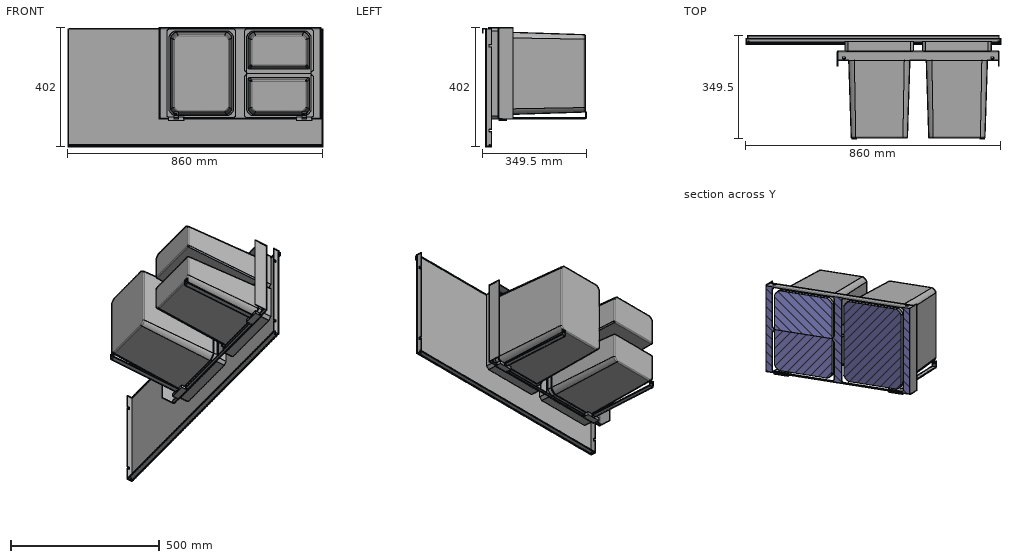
import cadquery as cq
import math


PANEL_LENGTH = 860.0
PANEL_HEIGHT = 397.0
PANEL_DEPTH = 21.0
PANEL_SHEET = 3.0
HEM_HEIGHT = 9.0
HEM_REACH = 7.0
HEM_SHEET = 2.0
HOOK_INSET = 6.0
HOOK_REACH = 10.0
HOOK_DROP = 15.0
HOOK_SHEET = 2.0
NOTCH_HEIGHT = 8.0
NOTCH_DEPTH = 9.0
NOTCH_LEVELS = (55.0, 340.5)
CORNER_HOLE = 3.0
CORNER_HOLE_INSET = 9.0
CORNER_HOLE_Y = -10.0

FRAME_LEFT = 308.0
FRAME_RIGHT = 853.0
FRAME_BOTTOM = 94.0
FRAME_TOP = 402.0
FRAME_BACK = -42.0
FRAME_SHEET = 2.0
FRAME_BEND = 4.0
WEB_LIP = 3.5
TOP_FLANGE_DEPTH = 32.0
BOTTOM_FLANGE_DEPTH = 13.0
SIDE_FLANGE_DEPTH = 51.0
SLOT_LENGTH = 9.0
SLOT_WIDTH = 5.0
SLOT_INSET = 22.0
SLOT_Y = -65.0
FRAME_WIDTH = FRAME_RIGHT - FRAME_LEFT
FRAME_HEIGHT = FRAME_TOP - FRAME_BOTTOM
FRAME_CENTRE = (FRAME_LEFT + FRAME_RIGHT) / 2
FRAME_MIDDLE = (FRAME_BOTTOM + FRAME_TOP) / 2
WEB_FRONT = FRAME_BACK - FRAME_SHEET

RIM_WIDTH = 232.0
RIM_BACK = -10.0
RIM_CHAMFER = 10.0
STEP_WIDTH = 218.0
STEP_INSET = 11.0
STEP_DEPTH = 13.0
STEP_CORNER = 19.0
BODY_WIDTH = 209.0
BODY_INSET = 14.0
BODY_TAPER = 9.5
BODY_CORNER = 20.0
BODY_END_CORNER = 15.5
BODY_SMALL_CORNER = 4.0
BODY_END_ROUND = 4.0
CORNER_BULGE = 0.2
BIN_SPREAD = 131.0
BIN_END = -336.0

ARM_SPREAD = 216.0
BRACKET_WIDTH = 52.5
BRACKET_BACK = -46.0
BRACKET_FRONT = -70.5
BRACKET_BOTTOM = 89.5
BRACKET_TOP = 101.0
ARM_WIDTH = 15.5
ARM_SHEET = 3.5
ARM_BOTTOM = 95.0
ARM_TIP_HEIGHT = 22.0
ARM_BEND = 5.0
TIP_HOLE_WIDTH = 8.0
TIP_HOLE_HEIGHT = 5.0
TIP_HOLE_DROP = 8.0


def block(x_min, x_max, y_min, y_max, z_min, z_max):
    """Box given by its limits along each axis."""
    size = (x_max - x_min, y_max - y_min, z_max - z_min)
    return cq.Workplane("XY").box(*size, centered=False).translate((x_min, y_min, z_min))


def slab(centre, size, y_min, y_max):
    """Box given by its (x, z) centre and size, and its limits along Y."""
    (x, z), (width, height) = centre, size
    return block(x - width / 2, x + width / 2, y_min, y_max, z - height / 2, z + height / 2)


def make_panel():
    """Tray with side flanges, a hemmed bottom flange and a hook along its top edge."""
    front = -PANEL_DEPTH
    inner_right = PANEL_LENGTH - PANEL_SHEET
    panel = block(0, PANEL_LENGTH, front, 0, 0, PANEL_HEIGHT)
    panel = panel.cut(block(PANEL_SHEET, inner_right, front, -PANEL_SHEET, PANEL_SHEET, PANEL_HEIGHT))

    hem = (
        cq.Workplane("YZ", origin=(PANEL_SHEET, 0, 0))
        .moveTo(front, PANEL_SHEET)
        .lineTo(front + HEM_REACH, HEM_HEIGHT)
        .lineTo(front + HEM_REACH + HEM_SHEET, HEM_HEIGHT - HEM_SHEET)
        .lineTo(front + 2 * HEM_SHEET, PANEL_SHEET)
        .close()
        .extrude(inner_right - PANEL_SHEET)
    )

    hook_left = HOOK_INSET
    hook_right = PANEL_LENGTH - HOOK_INSET
    hook_top = PANEL_HEIGHT + HOOK_SHEET
    ledge = block(hook_left, hook_right, -PANEL_SHEET, HOOK_REACH, PANEL_HEIGHT, hook_top)
    lip = block(
        hook_left, hook_right, HOOK_REACH - HOOK_SHEET, HOOK_REACH, hook_top - HOOK_DROP, hook_top
    )
    panel = panel.union(hem).union(ledge).union(lip)

    for level in NOTCH_LEVELS:
        notch = block(
            0, PANEL_LENGTH, front, front + NOTCH_DEPTH, level - NOTCH_HEIGHT / 2, level + NOTCH_HEIGHT / 2
        )
        panel = panel.cut(notch)

    for x in (CORNER_HOLE_INSET, PANEL_LENGTH - CORNER_HOLE_INSET):
        hole = cq.Workplane("XY").center(x, CORNER_HOLE_Y).rect(CORNER_HOLE, CORNER_HOLE)
        panel = panel.cut(hole.extrude(PANEL_SHEET))
    return panel


def make_frame(seated_bodies):
    """Folded frame whose back web is open at the bins and notched for the brackets."""
    front = FRAME_BACK - SIDE_FLANGE_DEPTH
    centre = (FRAME_CENTRE, FRAME_MIDDLE)
    inner_width = FRAME_WIDTH - 2 * FRAME_SHEET
    inner_height = FRAME_HEIGHT - 2 * FRAME_SHEET
    inner_bend = FRAME_BEND - FRAME_SHEET
    frame = slab(centre, (FRAME_WIDTH, FRAME_HEIGHT), front, FRAME_BACK).edges(">Y").fillet(FRAME_BEND)
    inside = slab(centre, (inner_width, inner_height), front, WEB_FRONT).edges(">Y").fillet(inner_bend)
    frame = frame.cut(inside)

    top_edge = FRAME_BACK - TOP_FLANGE_DEPTH
    bottom_edge = FRAME_BACK - BOTTOM_FLANGE_DEPTH
    inner_left = FRAME_LEFT + FRAME_SHEET
    inner_right = FRAME_RIGHT - FRAME_SHEET
    frame = frame.cut(block(inner_left, inner_right, front, top_edge, FRAME_MIDDLE, FRAME_TOP))
    frame = frame.cut(block(inner_left, inner_right, front, bottom_edge, FRAME_BOTTOM, FRAME_MIDDLE))

    for x in (FRAME_LEFT + SLOT_INSET, FRAME_RIGHT - SLOT_INSET):
        slot = cq.Workplane("XY").box(SLOT_LENGTH, SLOT_WIDTH, FRAME_BEND)
        frame = frame.cut(slot.translate((x, SLOT_Y, FRAME_TOP)))

    clear = slab(centre, (FRAME_WIDTH, FRAME_HEIGHT - 2 * WEB_LIP), WEB_FRONT, FRAME_BACK)
    for x, z_min, z_max in BIN_PLACES:
        frame = frame.cut(rim_slab(x, z_min, z_max, WEB_FRONT, FRAME_BACK).intersect(clear))

    for body in seated_bodies:
        frame = frame.cut(body)
    return frame


def rim_slab(x, z_min, z_max, y_min, y_max):
    """Slab with the chamfered outline of a bin rim."""
    rim = slab((x, (z_min + z_max) / 2), (RIM_WIDTH, z_max - z_min), y_min, y_max)
    return rim.edges("|Y").chamfer(RIM_CHAMFER)


def bin_outline(x, width, z_min, z_max, corners, y):
    """Closed outline at depth y; corners gives the lower and upper corner legs (0 is square).

    Each corner is a shallow arc that meets the straight sides at an angle.
    """
    lower, upper = corners
    half = width / 2
    outline = cq.Workplane("XZ", origin=(x, y, 0)).moveTo(lower - half, z_min)
    turns = (
        ((half - lower, z_min), (half, z_min + lower)),
        ((half, z_max - upper), (half - upper, z_max)),
        ((upper - half, z_max), (-half, z_max - upper)),
        ((-half, z_min + lower), (lower - half, z_min)),
    )
    for start, end in turns:
        outline = outline.lineTo(*start)
        if start != end:
            chord = math.dist(start, end)
            outline = outline.sagittaArc(end, -CORNER_BULGE * chord / 2)
    return outline


def make_bin(x, z_min, z_max):
    """Bin with its rim, the step under the rim and a tapered rounded body."""
    stacked_below = z_min > FRAME_BOTTOM
    stacked_above = z_max < FRAME_TOP
    stacked = (stacked_below, stacked_above)

    step_corners = [0 if near else STEP_CORNER for near in stacked]
    step_bottom = z_min if stacked_below else z_min + STEP_INSET
    step_top = z_max if stacked_above else z_max - STEP_INSET
    step_outline = bin_outline(x, STEP_WIDTH, step_bottom, step_top, step_corners, FRAME_BACK)
    step = step_outline.close().extrude(STEP_DEPTH)

    base_corners = [BODY_SMALL_CORNER if near else BODY_CORNER for near in stacked]
    end_corners = [BODY_SMALL_CORNER if near else BODY_END_CORNER for near in stacked]
    body_bottom = z_min + BODY_INSET
    body_top = z_max - BODY_INSET
    base = bin_outline(x, BODY_WIDTH, body_bottom, body_top, base_corners, FRAME_BACK)
    end = bin_outline(
        x,
        BODY_WIDTH - 2 * BODY_TAPER,
        body_bottom + BODY_TAPER,
        body_top - BODY_TAPER,
        end_corners,
        BIN_END,
    )
    wires = [outline.wire().val() for outline in (base, end)]
    body = cq.Workplane(cq.Solid.makeLoft(wires, True)).faces("<Y").edges().fillet(BODY_END_ROUND)
    return rim_slab(x, z_min, z_max, FRAME_BACK, RIM_BACK).union(step).union(body)


def make_bracket(x):
    """Block set into the frame's bottom flange."""
    half = BRACKET_WIDTH / 2
    return block(x - half, x + half, BRACKET_FRONT, BRACKET_BACK, BRACKET_BOTTOM, BRACKET_TOP)


def make_arm(x):
    """Flat arm running forward from a bracket, its tip bent upward and pierced."""
    left = x - ARM_WIDTH / 2
    right = x + ARM_WIDTH / 2
    tip_front = BIN_END - ARM_SHEET
    tip_top = ARM_BOTTOM + ARM_TIP_HEIGHT
    strip = block(left, right, tip_front, BRACKET_FRONT, ARM_BOTTOM, ARM_BOTTOM + ARM_SHEET)
    tip = block(left, right, tip_front, BIN_END, ARM_BOTTOM, tip_top)
    arm = strip.union(tip).edges("|X and <Y and <Z").fillet(ARM_BEND)
    hole = slab((x, tip_top - TIP_HOLE_DROP), (TIP_HOLE_WIDTH, TIP_HOLE_HEIGHT), tip_front, BIN_END)
    return arm.cut(hole)


BIN_PLACES = (
    (FRAME_CENTRE - BIN_SPREAD, FRAME_BOTTOM, FRAME_TOP),
    (FRAME_CENTRE + BIN_SPREAD, FRAME_MIDDLE, FRAME_TOP),
    (FRAME_CENTRE + BIN_SPREAD, FRAME_BOTTOM, FRAME_MIDDLE),
)
ARM_PLACES = (FRAME_CENTRE - ARM_SPREAD, FRAME_CENTRE + ARM_SPREAD)

panel = make_panel()
bins = [make_bin(*place) for place in BIN_PLACES]
brackets = [make_bracket(x) for x in ARM_PLACES]
arms = [make_arm(x) for x in ARM_PLACES]
frame = make_frame(bins + brackets)

repeated = bins + brackets + arms
result = cq.Compound.makeCompound([panel.val(), frame.val(), *[body.val() for body in repeated]])